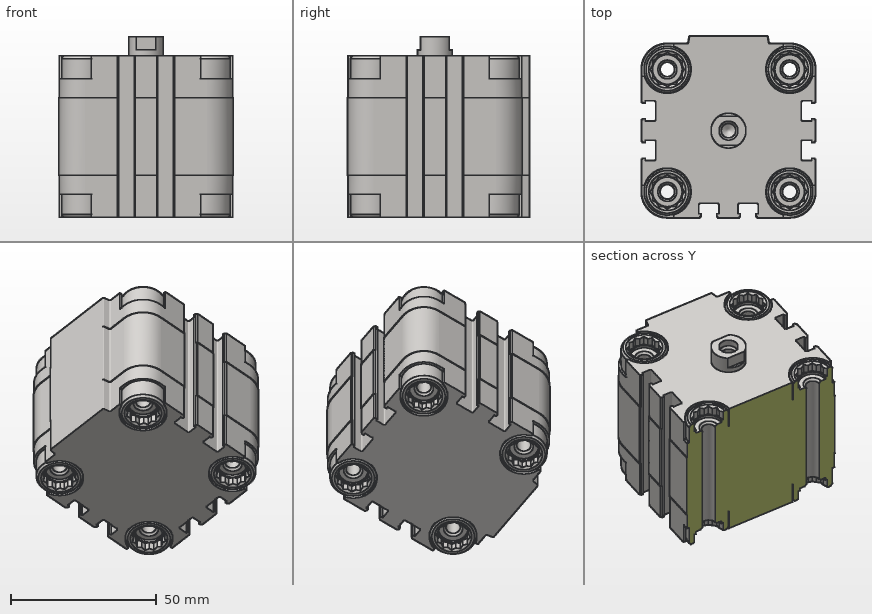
import cadquery as cq
import math

BODY_SIDE = 60.0
BODY_HALF = BODY_SIDE / 2
BODY_HEIGHT = 55.5
CAP_HEIGHT = 14.5
CAP_INSET = 0.2
CORNER_RADIUS = 9.0
BOLT_OFFSET = BODY_HALF - CORNER_RADIUS

OVERCUT = 0.6
SELECT_REACH = 0.05

RIB_TOP_Y = 32.5
RIB_TOP_HALF = 13.5
RIB_BASE_HALF = 14.0
RIB_TOP_FILLET = 0.25
RIB_BASE_FILLET = 0.5

SLOT_OFFSET = 6.75
SLOT_DEPTH = 5.0
SLOT_WIDTH = 6.9
MOUTH_WIDTH = 5.3
LIP_THICKNESS = 1.5
SLOT_FILLET = 0.45

RELIEF_EDGE = 18.75
RELIEF_DEPTH = 8.0
BOSS_RADIUS = 16.0 / 2
RELIEF_RADIUS = 8.2
BOSS_CHAMFER_WIDTH = 0.7
BOSS_CHAMFER_HEIGHT = 1.0
MOUTH_RADIUS = 6.4
MOUTH_CONE_ANGLE = 30.0
SOCKET_FLATS = 10.1
SOCKET_DEPTH = 3.75
HEXAGON_SIDES = 6
RECESS_DEPTH = 4.8
BOLT_HOLE_RADIUS = 4.95 / 2
COUNTERSINK_RADIUS = 6.5 / 2

ROD_RADIUS = 12.0 / 2
ROD_STICK_OUT = 6.5
ROD_SEAT_DEPTH = CAP_HEIGHT
ROD_TOP = BODY_HEIGHT + ROD_STICK_OUT
ROD_BOTTOM = BODY_HEIGHT - ROD_SEAT_DEPTH
ROD_FLATS = 10.0
FLAT_HEIGHT = 4.5
ROD_BORE_RADIUS = 6.5 / 2
ROD_BORE_DEPTH = 2.6
ROD_DRILL_RADIUS = 4.95 / 2
ROD_DRILL_DEPTH = 12.5
DRILL_TIP_ANGLE = 30.0


def outer_block(inset, height):
    """Rounded square with the rib on +Y, its sides moved in by `inset`."""
    half = BODY_HALF - inset
    base_half = RIB_BASE_HALF - inset
    top_half = RIB_TOP_HALF - inset
    square = (
        cq.Workplane("XY")
        .rect(2 * half, 2 * half)
        .extrude(height)
        .edges("|Z")
        .fillet(CORNER_RADIUS - inset)
    )
    rib = (
        cq.Workplane("XY")
        .moveTo(-base_half, 0)
        .lineTo(base_half, 0)
        .lineTo(base_half, half)
        .lineTo(top_half, RIB_TOP_Y)
        .lineTo(-top_half, RIB_TOP_Y)
        .lineTo(-base_half, half)
        .close()
        .extrude(height)
    )
    return (
        square.union(rib)
        .edges(vertical_edges_near(base_half, half))
        .fillet(RIB_BASE_FILLET)
        .edges(vertical_edges_near(top_half, RIB_TOP_Y))
        .fillet(RIB_TOP_FILLET)
    )


def vertical_edges_near(x, y):
    """Selector for the upright edges at (x, y) and (-x, y)."""
    upright = cq.selectors.ParallelDirSelector(cq.Vector(0, 0, 1))
    near_right = cq.selectors.BoxSelector(
        (x - SELECT_REACH, y - SELECT_REACH, 0),
        (x + SELECT_REACH, y + SELECT_REACH, BODY_HEIGHT),
    )
    near_left = cq.selectors.BoxSelector(
        (-x - SELECT_REACH, y - SELECT_REACH, 0),
        (-x + SELECT_REACH, y + SELECT_REACH, BODY_HEIGHT),
    )
    return cq.selectors.AndSelector(upright, near_right + near_left)


def slot_cutter(inset, height):
    """T slot in the -Y face, centred on x = 0, with a rounded mouth and rounded floor corners."""
    mouth = MOUTH_WIDTH / 2
    wide = SLOT_WIDTH / 2
    flare = mouth + SLOT_FILLET
    face = -BODY_HALF + inset
    lip = -BODY_HALF + LIP_THICKNESS
    floor = -BODY_HALF + SLOT_DEPTH
    outside = -BODY_HALF - OVERCUT
    return (
        cq.Workplane("XY")
        .moveTo(-flare, outside)
        .lineTo(flare, outside)
        .lineTo(flare, face)
        .radiusArc((mouth, face + SLOT_FILLET), -SLOT_FILLET)
        .lineTo(mouth, lip)
        .lineTo(wide, lip)
        .lineTo(wide, floor)
        .lineTo(-wide, floor)
        .lineTo(-wide, lip)
        .lineTo(-mouth, lip)
        .lineTo(-mouth, face + SLOT_FILLET)
        .radiusArc((-flare, face), -SLOT_FILLET)
        .close()
        .extrude(height)
        .edges("|Z and >Y")
        .fillet(SLOT_FILLET)
    )


def body_section(inset, bottom, height):
    """One length of the body, with two slots on each of the -X, -Y and +X faces."""
    section = outer_block(inset, height)
    cutter = slot_cutter(inset, height)
    for turn in (-90, 0, 90):
        for offset in (-SLOT_OFFSET, SLOT_OFFSET):
            slot = cutter.translate((offset, 0, 0)).rotate((0, 0, 0), (0, 0, 1), turn)
            section = section.cut(slot)
    return section.translate((0, 0, bottom))


def disc(radius, top, depth):
    """Upright cylinder that reaches down from z = top."""
    return cq.Workplane("XY").workplane(offset=top - depth).circle(radius).extrude(depth)


def cone(top_radius, bottom_radius, top, depth):
    """Upright frustum that reaches down from z = top."""
    return cq.Workplane("XY").add(cq.Solid.makeCone(
        bottom_radius, top_radius, depth, cq.Vector(0, 0, top - depth)))


def corner_relief():
    """Material removed around the top boss of the +X +Y corner, bolt axis on Z."""
    reach = BODY_SIDE
    edge = RELIEF_EDGE - BOLT_OFFSET
    relief = (
        cq.Workplane("XY")
        .workplane(offset=BODY_HEIGHT - RELIEF_DEPTH)
        .rect(reach, reach, centered=False)
        .extrude(RELIEF_DEPTH)
        .translate((edge, edge, 0))
        .union(disc(RELIEF_RADIUS, BODY_HEIGHT, RELIEF_DEPTH))
    )
    straight = RELIEF_DEPTH - BOSS_CHAMFER_HEIGHT
    boss = disc(BOSS_RADIUS, BODY_HEIGHT - BOSS_CHAMFER_HEIGHT, straight).union(
        cone(BOSS_RADIUS - BOSS_CHAMFER_WIDTH, BOSS_RADIUS, BODY_HEIGHT, BOSS_CHAMFER_HEIGHT))
    return relief.cut(boss)


def bolt_socket():
    """Twelve-point socket with its conical entry, recess and through hole, bolt axis on Z."""
    flat_radius = SOCKET_FLATS / 2
    half_point_angle = 180 / HEXAGON_SIDES
    tip_diameter = SOCKET_FLATS / math.cos(math.radians(half_point_angle))
    entry_depth = (MOUTH_RADIUS - flat_radius) * math.tan(math.radians(MOUTH_CONE_ANGLE))
    countersink_depth = COUNTERSINK_RADIUS - BOLT_HOLE_RADIUS
    socket = cone(MOUTH_RADIUS, flat_radius, BODY_HEIGHT, entry_depth)
    for turn in (0, half_point_angle):
        hexagon = (
            cq.Workplane("XY")
            .workplane(offset=BODY_HEIGHT - SOCKET_DEPTH)
            .polygon(HEXAGON_SIDES, tip_diameter)
            .extrude(SOCKET_DEPTH)
            .rotate((0, 0, 0), (0, 0, 1), turn)
        )
        socket = socket.union(hexagon)
    return (
        socket
        .union(disc(flat_radius, BODY_HEIGHT, RECESS_DEPTH))
        .union(cone(COUNTERSINK_RADIUS, BOLT_HOLE_RADIUS, BODY_HEIGHT - RECESS_DEPTH, countersink_depth))
        .union(disc(BOLT_HOLE_RADIUS, BODY_HEIGHT, BODY_HEIGHT / 2))
    )


def make_housing():
    """Tube and both end caps in one piece, with slots, corner bosses and the rod seat."""
    tube_height = BODY_HEIGHT - 2 * CAP_HEIGHT
    body = (
        body_section(0, CAP_HEIGHT, tube_height)
        .union(body_section(CAP_INSET, 0, CAP_HEIGHT))
        .union(body_section(CAP_INSET, BODY_HEIGHT - CAP_HEIGHT, CAP_HEIGHT))
    )
    corner_cut = corner_relief().union(bolt_socket())
    middle = (0, 0, BODY_HEIGHT / 2)
    for turn in (0, 90, 180, 270):
        top_cut = corner_cut.translate((BOLT_OFFSET, BOLT_OFFSET, 0)).rotate((0, 0, 0), (0, 0, 1), turn)
        body = body.cut(top_cut).cut(top_cut.mirror("XY", middle))
    return body.cut(disc(ROD_RADIUS, BODY_HEIGHT, ROD_SEAT_DEPTH))


def make_rod():
    """Piston rod with two wrench flats and a blind stepped hole in its end."""
    rod = disc(ROD_RADIUS, ROD_TOP, ROD_TOP - ROD_BOTTOM)
    flats_envelope = (
        cq.Workplane("XY")
        .workplane(offset=ROD_TOP - FLAT_HEIGHT)
        .rect(2 * ROD_RADIUS, ROD_FLATS)
        .extrude(FLAT_HEIGHT)
    )
    flat_cut = disc(2 * ROD_RADIUS, ROD_TOP, FLAT_HEIGHT).cut(flats_envelope)
    step_depth = ROD_BORE_RADIUS - ROD_DRILL_RADIUS
    tip_depth = ROD_DRILL_RADIUS * math.tan(math.radians(DRILL_TIP_ANGLE))
    return (
        rod
        .cut(flat_cut)
        .cut(disc(ROD_BORE_RADIUS, ROD_TOP, ROD_BORE_DEPTH))
        .cut(cone(ROD_BORE_RADIUS, ROD_DRILL_RADIUS, ROD_TOP - ROD_BORE_DEPTH, step_depth))
        .cut(disc(ROD_DRILL_RADIUS, ROD_TOP, ROD_DRILL_DEPTH))
        .cut(cone(ROD_DRILL_RADIUS, 0, ROD_TOP - ROD_DRILL_DEPTH, tip_depth))
    )


housing = make_housing()
rod = make_rod()

result = cq.Compound.makeCompound([housing.val(), rod.val()])